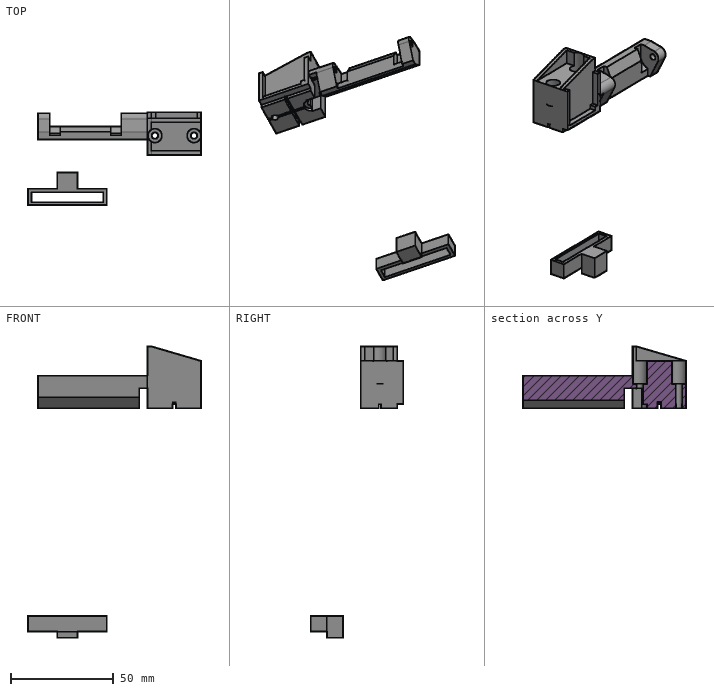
import cadquery as cq
import math

block_length = 26.3
block_depth = 18.0
block_height = 30.3
low_end_height = 23.2
rim = 2.0

frame_depth = 3.0
frame_bottom = 2.0
frame_side = 2.0
frame_lip = 2.0
frame_step_width = 2.0
frame_step_height = 2.0

screw_diameter = 3.0
head_diameter = 6.8
screw_y = 9.5
screw_xs = (3.7, 22.8)
screw_seat_z = 12.0
foot_recess_depth = 1.9
cross_slot_width = 1.5
cross_slot_height = 3.0
long_slot_width = 1.0
long_slot_height = 1.9

neck_gap = 3.9
cavity_height = 9.8
cavity_width = 7.2
cavity_depth = 4.5

arm_length = 53.5
arm_front_y = 7.5
arm_top = 16.0
arm_flat_back_y = 11.5
foot_front_y = 12.7
foot_back_y = 15.4
front_face_bottom = 5.3
hinge_y = 17.0
hinge_z = 11.2
hinge_radius = 3.5
arm_back_y = hinge_y + hinge_radius
pin_diameter = 3.0
end_lug_length = 5.8
inner_lug_length = 12.8
rail_back_y = 14.0
rail_slope_bottom = 10.5
notch_length = 5.1
notch_front_y = 9.7
notch_ledge_y = 10.7
notch_radius = 8.0

loop_length = 38.6
loop_depth = 8.0
loop_height = 7.8
loop_wall = 1.8
loop_front_wall = 1.5
tongue_length = 10.0
tongue_depth = 8.0
tongue_height = 10.8
loop_min_x = -58.44
loop_min_y = -24.45
loop_top_z = -101.39


def box(x0, x1, y0, y1, z0, z1):
    """Axis-aligned box between two corners."""
    return cq.Workplane("XY").box(x1 - x0, y1 - y0, z1 - z0, centered=False).translate((x0, y0, z0))


def cylinder_z(diameter, x, y, z0, z1):
    """Upright cylinder between two levels."""
    return cq.Workplane("XY", origin=(x, y, z0)).circle(diameter / 2).extrude(z1 - z0)


def cylinder_x(diameter, x0, x1):
    """Cylinder along the hinge axis."""
    return cq.Workplane("YZ", origin=(x0, hinge_y, hinge_z)).circle(diameter / 2).extrude(x1 - x0)


def hinge_tangent_angle(y, z, side):
    """Angle on the hinge circle touched by a line from the point (y, z)."""
    toward_point = math.atan2(z - hinge_z, y - hinge_y)
    distance = math.hypot(y - hinge_y, z - hinge_z)
    return toward_point + side * math.acos(hinge_radius / distance)


def hinge_point(angle):
    """Point on the hinge circle at an angle from +Y toward +Z."""
    return (hinge_y + hinge_radius * math.cos(angle), hinge_z + hinge_radius * math.sin(angle))


def make_block():
    """Block with a sloping top, sunk level inside the rim and open toward +X."""
    block = (
        cq.Workplane("XZ")
        .polyline([
            (0, 0),
            (block_length, 0),
            (block_length, low_end_height),
            (rim, block_height),
            (0, block_height),
        ])
        .close()
        .extrude(-block_depth)
    )
    return block.cut(box(rim, block_length, rim, block_depth - rim, low_end_height, block_height))


def make_frame():
    """Frame on the rear face, open at the top."""
    back = block_depth + frame_depth
    frame = box(0, block_length, block_depth, back, frame_bottom, low_end_height)
    floor_z = frame_bottom + frame_lip
    opening_end = block_length - frame_side
    step_end = frame_side + frame_step_width
    frame = frame.cut(box(step_end, opening_end, block_depth, back, floor_z, low_end_height))
    return frame.cut(box(frame_side, step_end, block_depth, back, floor_z + frame_step_height, low_end_height))


def make_rail_cut(x0, x1):
    """Space behind the rail, whose rear face leans at the top and is upright below."""
    return (
        cq.Workplane("YZ", origin=(x0, 0, 0))
        .polyline([
            (arm_flat_back_y, arm_top),
            (rail_back_y, rail_slope_bottom),
            (rail_back_y, 0),
            (arm_back_y, 0),
            (arm_back_y, arm_top),
        ])
        .close()
        .extrude(x1 - x0)
    )


def make_notch(x0, x1):
    """Swing clearance at one end of the rail."""
    ledge_drop = math.sqrt(notch_radius ** 2 - (hinge_y - notch_ledge_y) ** 2)
    above_ledge = box(x0, x1, notch_front_y, hinge_y, hinge_z - ledge_drop, arm_top)
    behind_ledge = box(x0, x1, notch_ledge_y, hinge_y, 0, arm_top)
    return above_ledge.union(cylinder_x(2 * notch_radius, x0, x1).intersect(behind_ledge))


def make_arm():
    """Arm with a hinge lug at each end and a thin rail between them."""
    upper_angle = hinge_tangent_angle(arm_flat_back_y, arm_top, -1)
    lower_angle = hinge_tangent_angle(foot_back_y, 0, 1)
    upper_touch = hinge_point(upper_angle)
    lower_touch = hinge_point(lower_angle)
    arm = (
        cq.Workplane("YZ", origin=(-arm_length, 0, 0))
        .moveTo(arm_front_y, front_face_bottom)
        .lineTo(arm_front_y, arm_top)
        .lineTo(arm_flat_back_y, arm_top)
        .lineTo(*upper_touch)
        .threePointArc((arm_back_y, hinge_z), lower_touch)
        .lineTo(foot_back_y, 0)
        .lineTo(foot_front_y, 0)
        .close()
        .extrude(arm_length)
    )
    rail_start = -arm_length + end_lug_length
    rail_end = -inner_lug_length
    arm = arm.cut(make_rail_cut(rail_start, rail_end))
    for notch_start in (rail_start, rail_end - notch_length):
        arm = arm.cut(make_notch(notch_start, notch_start + notch_length))
    arm = arm.cut(cylinder_x(pin_diameter, -arm_length, 0))
    return arm.cut(box(-neck_gap, 0, 0, arm_back_y, 0, cavity_height))


def cut_screw_holes(housing):
    """Two upright screw holes, sunk from above; the -X one is also sunk from below."""
    for x in screw_xs:
        housing = housing.cut(cylinder_z(screw_diameter, x, screw_y, 0, block_height))
        housing = housing.cut(cylinder_z(head_diameter, x, screw_y, screw_seat_z, block_height))
    return housing.cut(cylinder_z(head_diameter, screw_xs[0], screw_y, 0, foot_recess_depth))


def cut_bottom_slots(housing):
    """Crossing slots in the underside of the block."""
    middle_x = block_length / 2
    half_cross = cross_slot_width / 2
    half_long = long_slot_width / 2
    cross_slot = box(middle_x - half_cross, middle_x + half_cross, 0, block_depth, 0, cross_slot_height)
    long_slot = box(0, block_length, screw_y - half_long, screw_y + half_long, 0, long_slot_height)
    return housing.cut(cross_slot).cut(long_slot)


def cut_cavity(housing):
    """Cavity in the -X face of the block, open at the bottom."""
    half_cavity = cavity_width / 2
    return housing.cut(
        box(0, cavity_depth, screw_y - half_cavity, screw_y + half_cavity, 0, cavity_height)
    )


def make_housing():
    """Block, frame and arm as one solid, with the holes and slots cut in."""
    housing = make_block().union(make_frame()).union(make_arm())
    housing = cut_screw_holes(housing)
    housing = cut_cavity(housing)
    return cut_bottom_slots(housing)


def make_strap_loop():
    """Rectangular loop, open top to bottom, with a tongue on its +Y side."""
    max_x = loop_min_x + loop_length
    back_y = loop_min_y + loop_depth
    bottom_z = loop_top_z - loop_height
    body = box(loop_min_x, max_x, loop_min_y, back_y, bottom_z, loop_top_z)
    tongue_x = loop_min_x + (loop_length - tongue_length) / 2
    tongue = box(
        tongue_x, tongue_x + tongue_length,
        back_y, back_y + tongue_depth,
        loop_top_z - tongue_height, loop_top_z,
    )
    opening = box(
        loop_min_x + loop_wall, max_x - loop_wall,
        loop_min_y + loop_front_wall, back_y - loop_wall,
        bottom_z, loop_top_z,
    )
    return body.union(tongue).cut(opening)


housing = make_housing()
strap_loop = make_strap_loop()

result = cq.Compound.makeCompound([housing.val(), strap_loop.val()])